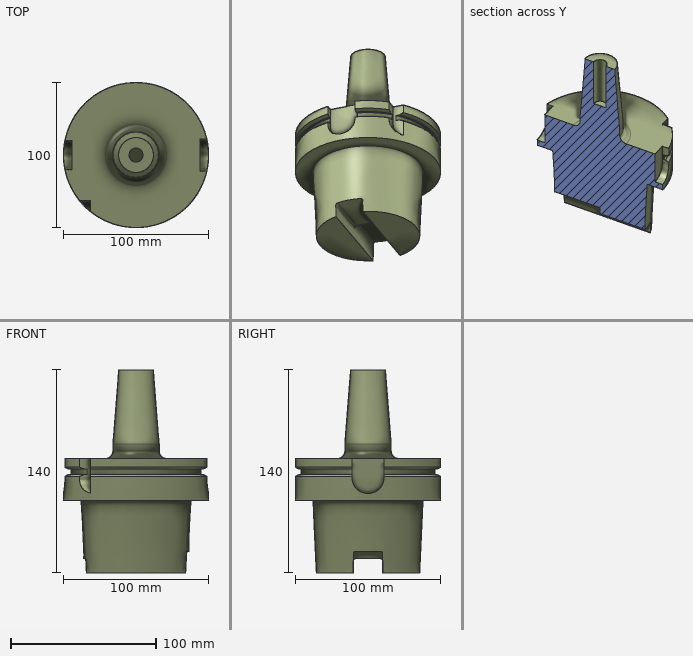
import cadquery as cq
import math


shank_length = 50.0
shank_top_radius = 37.9
shank_bottom_radius = 35.6

flange_radius = 50.0
flange_height = 29.0
groove_center_z = 19.8
groove_floor_radius = 46.0
groove_floor_width = 3.8
groove_mouth_width = 6.4
groove_shoulder_radius = 47.6

nose_base_radius = 16.0
nose_tip_radius = 12.0
nose_fillet_radius = 5.0
nose_collar_height = 5.0
nose_tip_z = 90.0

bore_radius = 4.8
bore_depth = 36.0

keyway_bottom_z = 4.9
left_keyway_width = 20.0
left_keyway_floor = 44.0
right_keyway_width = 22.0
right_keyway_floor = 44.0

notch_width = 20.0
notch_floor = 31.4
notch_edge_y = -31.4

drive_slot_width = 20.0
left_drive_slot_height = 10.0
right_drive_slot_height = 15.0
drive_slot_corner_radius = 1.5


def holder_body():
    """Revolve the shank, grooved flange and nose as one profile."""
    floor_half = groove_floor_width / 2
    mouth_half = groove_mouth_width / 2
    fillet_top_z = flange_height + nose_fillet_radius
    arc_offset = nose_fillet_radius * (1 - math.cos(math.pi / 4))
    profile = (
        cq.Workplane("YZ")
        .moveTo(0, -shank_length)
        .lineTo(shank_bottom_radius, -shank_length)
        .lineTo(shank_top_radius, 0)
        .lineTo(flange_radius, 0)
        .lineTo(flange_radius, groove_center_z - mouth_half)
        .lineTo(groove_shoulder_radius, groove_center_z - floor_half)
        .lineTo(groove_floor_radius, groove_center_z - floor_half)
        .lineTo(groove_floor_radius, groove_center_z + floor_half)
        .lineTo(groove_shoulder_radius, groove_center_z + floor_half)
        .lineTo(flange_radius, groove_center_z + mouth_half)
        .lineTo(flange_radius, flange_height)
        .lineTo(nose_base_radius + nose_fillet_radius, flange_height)
        .threePointArc(
            (nose_base_radius + arc_offset, flange_height + arc_offset),
            (nose_base_radius, fillet_top_z),
        )
        .lineTo(nose_base_radius, fillet_top_z + nose_collar_height)
        .lineTo(nose_tip_radius, nose_tip_z)
        .lineTo(0, nose_tip_z)
        .close()
    )
    return profile.revolve(360, (0, 0, 0), (0, 1, 0))


def clamping_bore():
    return (
        cq.Workplane("XY")
        .workplane(offset=nose_tip_z - bore_depth)
        .circle(bore_radius)
        .extrude(bore_depth)
    )


def flange_keyway(side, center_y, width, floor_distance):
    """Keyway with a half-round lower end, open at the flange top and rim; side is -1 or +1 along X."""
    radius = width / 2
    arc_center_z = keyway_bottom_z + radius
    return (
        cq.Workplane("YZ")
        .workplane(offset=side * floor_distance)
        .moveTo(center_y - radius, flange_height)
        .lineTo(center_y - radius, arc_center_z)
        .threePointArc((center_y, keyway_bottom_z), (center_y + radius, arc_center_z))
        .lineTo(center_y + radius, flange_height)
        .close()
        .extrude(side * (flange_radius - floor_distance))
    )


def drive_slot(side, height):
    """Slot in the shank end, running from the rim to the axis; side is -1 or +1 along X."""
    return (
        cq.Workplane("XY")
        .workplane(offset=-shank_length)
        .center(side * flange_radius / 2, 0)
        .rect(flange_radius, drive_slot_width)
        .extrude(height)
        .edges("|X and >Z")
        .fillet(drive_slot_corner_radius)
    )


result = (
    holder_body()
    .cut(clamping_bore())
    .cut(flange_keyway(-1, 0, left_keyway_width, left_keyway_floor))
    .cut(flange_keyway(1, 0, right_keyway_width, right_keyway_floor))
    .cut(flange_keyway(-1, notch_edge_y - notch_width / 2, notch_width, notch_floor))
    .cut(drive_slot(-1, left_drive_slot_height))
    .cut(drive_slot(1, right_drive_slot_height))
)